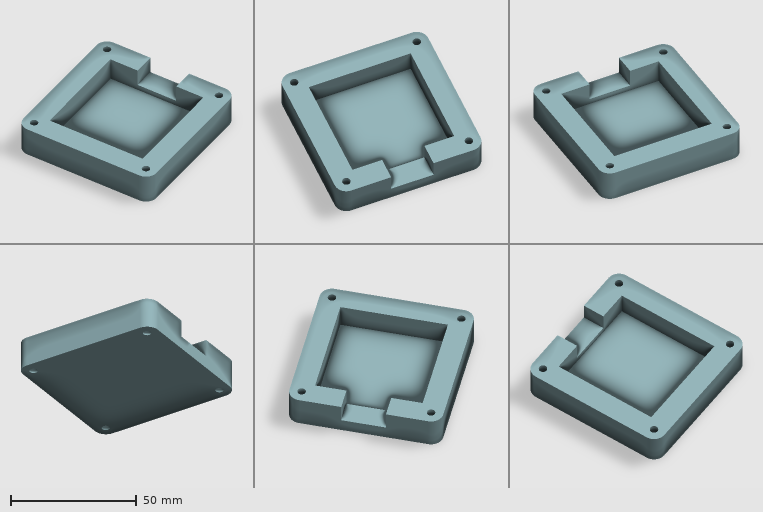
import cadquery as cq

length_x = 63.0
length_y = 64.0
height = 13.0
corner_radius = 5.0

wall = 9.5
pocket_depth = 10.0
pocket_x = length_x - 2 * wall
pocket_y = length_y - 2 * wall

notch_width = 18.3
notch_depth = 7.5

hole_diameter = 3.4
hole_spacing_x = length_x - 2 * corner_radius
hole_spacing_y = length_y - 2 * corner_radius


def make_block():
    block = cq.Workplane("XY").box(length_x, length_y, height, centered=(True, True, False))
    return block.edges("|Z").fillet(corner_radius)


def make_pocket():
    floor = cq.Workplane("XY").workplane(offset=height - pocket_depth)
    return floor.rect(pocket_x, pocket_y).extrude(pocket_depth)


def make_notch():
    notch = cq.Workplane("XY").workplane(offset=height - notch_depth)
    return notch.center(0, length_y / 4).rect(notch_width, length_y / 2).extrude(notch_depth)


def make_corner_holes():
    centres = cq.Workplane("XY").rect(hole_spacing_x, hole_spacing_y, forConstruction=True).vertices()
    return centres.circle(hole_diameter / 2).extrude(height)


result = make_block().cut(make_pocket()).cut(make_notch()).cut(make_corner_holes())